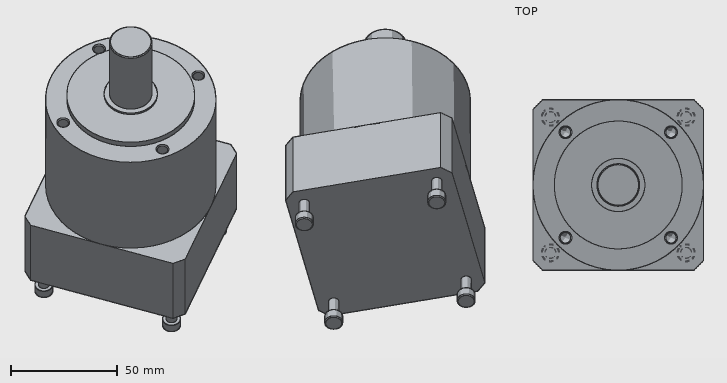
import cadquery as cq
import math

flange_side = 80.0
flange_corner_chamfer = 4.5
flange_height = 38.5
housing_diameter = flange_side
housing_height = 60.0
pilot_diameter = 60.0
pilot_height = 3.0
collar_diameter = 25.0
collar_height = 1.0
shaft_diameter = 20.0
shaft_height = 36.0
shaft_tip_chamfer = 0.5

tapped_hole_diameter = 4.92
tapped_hole_depth = 10.0
tapped_hole_mouth_diameter = 6.0
tapped_hole_bolt_circle = 70.0
drill_tip_angle = 118.0
countersink_angle = 90.0

screw_diameter = 5.0
screw_exposed_length = 10.0
screw_head_diameter = 8.5
screw_head_height = 5.0
screw_head_chamfer = 0.5
screw_head_seat_bevel_width = 0.1
screw_head_seat_bevel_height = 0.2
screw_neck_flare_width = 0.1
screw_neck_flare_height = 0.6
screw_bolt_circle = 90.0

screw_seat_level = screw_head_height
flange_bottom = screw_seat_level + screw_exposed_length
flange_top = flange_bottom + flange_height
housing_top = flange_top + housing_height
pilot_top = housing_top + pilot_height
collar_top = pilot_top + collar_height


def diagonal_points(bolt_circle):
    """Four points on a bolt circle, one on each diagonal of the square flange."""
    offset = bolt_circle / 2 * math.cos(math.radians(45))
    return [(x, y) for x in (-offset, offset) for y in (-offset, offset)]


def cylinder(diameter, height, bottom):
    return cq.Workplane("XY").workplane(offset=bottom).circle(diameter / 2).extrude(height)


def make_tapped_hole():
    """Solid of one blind hole: countersunk mouth, straight wall and conical drill tip."""
    radius = tapped_hole_diameter / 2
    mouth_radius = tapped_hole_mouth_diameter / 2
    mouth_depth = (mouth_radius - radius) / math.tan(math.radians(countersink_angle / 2))
    tip_depth = radius / math.tan(math.radians(drill_tip_angle / 2))
    return (
        cq.Workplane("XZ")
        .moveTo(0, housing_top)
        .lineTo(mouth_radius, housing_top)
        .lineTo(radius, housing_top - mouth_depth)
        .lineTo(radius, housing_top - tapped_hole_depth)
        .lineTo(0, housing_top - tapped_hole_depth - tip_depth)
        .close()
        .revolve(360, (0, 0), (0, 1))
    )


def make_gearbox():
    body = (
        cq.Workplane("XY")
        .workplane(offset=flange_bottom)
        .rect(flange_side, flange_side)
        .extrude(flange_height)
        .edges("|Z")
        .chamfer(flange_corner_chamfer)
    )
    shaft = cylinder(shaft_diameter, shaft_height, collar_top).faces(">Z").chamfer(shaft_tip_chamfer)
    body = body.union(cylinder(housing_diameter, housing_height, flange_top))
    body = body.union(cylinder(pilot_diameter, pilot_height, housing_top))
    body = body.union(cylinder(collar_diameter, collar_height, pilot_top))
    body = body.union(shaft)
    hole = make_tapped_hole()
    for x, y in diagonal_points(tapped_hole_bolt_circle):
        body = body.cut(hole.translate((x, y, 0)))
    return body


def make_screw(x, y):
    """One cap screw with a flared neck, whose shank meets the underside of the flange."""
    shank_radius = screw_diameter / 2
    head_radius = screw_head_diameter / 2
    profile = (
        cq.Workplane("XZ")
        .moveTo(0, 0)
        .lineTo(head_radius - screw_head_chamfer, 0)
        .lineTo(head_radius, screw_head_chamfer)
        .lineTo(head_radius, screw_seat_level - screw_head_seat_bevel_height)
        .lineTo(head_radius - screw_head_seat_bevel_width, screw_seat_level)
        .lineTo(shank_radius + screw_neck_flare_width, screw_seat_level)
        .lineTo(shank_radius, screw_seat_level + screw_neck_flare_height)
        .lineTo(shank_radius, flange_bottom)
        .lineTo(0, flange_bottom)
        .close()
    )
    return profile.revolve(360, (0, 0), (0, 1)).translate((x, y, 0))


gearbox = make_gearbox()
screws = [make_screw(x, y) for x, y in diagonal_points(screw_bolt_circle)]

result = cq.Compound.makeCompound([gearbox.val(), *[screw.val() for screw in screws]])